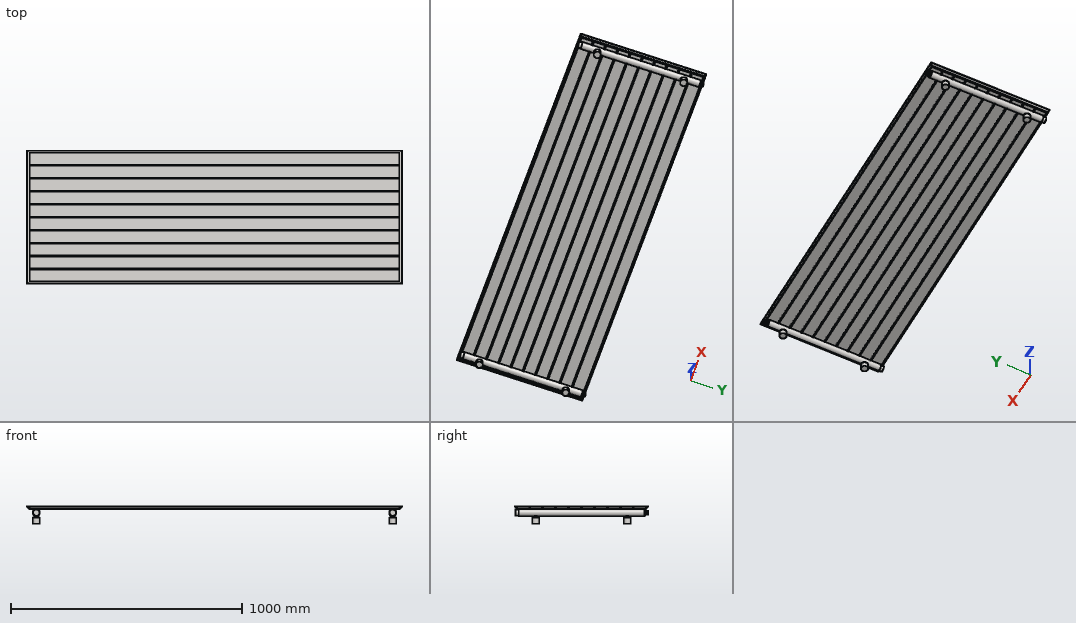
import cadquery as cq

length = 1622.0
width = 575.0
height = 76.0

panel_depth = 10.0
sheet = 1.0
rim_step = 2.0
rim_lean = 34.5
recess_inset_y = 10.0
recess_inset_x = 13.0

tube_count = 10
tube_gap = 5.0
tube_protrusion = 2.5

manifold_radius = 15.7
manifold_length = 542.0
manifold_inset = 40.0
manifold_axis_z = 49.0

plug_radius = 13.8
plug_length = 15.0
collar_length = 5.0
vent_head_radius = 8.0
vent_head_length = 6.0
vent_stem_radius = 6.0

foot_radius = 15.4
foot_height = 30.0
foot_chamfer = 2.0
neck_radius = 8.0
foot_offset_y = 198.0

panel_bottom = height - panel_depth
sheet_bottom = height - sheet
tube_bottom = panel_bottom - tube_protrusion
recess_length = length - 2 * recess_inset_x
recess_width = width - 2 * recess_inset_y
manifold_x = length / 2 - manifold_inset
manifold_end = manifold_length / 2


def make_panel():
    plate = cq.Workplane("XY", origin=(0, 0, sheet_bottom)).rect(length, width).extrude(sheet)
    rim = (
        cq.Workplane("XY", origin=(0, 0, sheet_bottom))
        .rect(length - 2 * rim_step, width - 2 * rim_step)
        .extrude(panel_bottom - sheet_bottom, taper=rim_lean)
    )
    recess = (
        cq.Workplane("XY", origin=(0, 0, panel_bottom))
        .rect(recess_length, recess_width)
        .extrude(sheet_bottom - panel_bottom)
    )
    return plate.union(rim.cut(recess))


def make_flat_tubes():
    pitch = (recess_width + tube_gap) / tube_count
    first_y = -pitch * (tube_count - 1) / 2
    return [
        cq.Workplane("XY", origin=(0, first_y + i * pitch, tube_bottom))
        .rect(recess_length, pitch - tube_gap)
        .extrude(sheet_bottom - tube_bottom)
        for i in range(tube_count)
    ]


def y_cylinder(radius, x, start, end):
    """Cylinder on the manifold axis at x, from y = start to y = end."""
    return cq.Workplane("XZ", origin=(x, start, manifold_axis_z)).circle(radius).extrude(start - end)


def make_manifold(x):
    pipe = y_cylinder(manifold_radius, x, -manifold_end, manifold_end)
    plug = y_cylinder(plug_radius, x, -manifold_end - plug_length, -manifold_end)
    collar = y_cylinder(plug_radius, x, manifold_end, manifold_end + collar_length)
    vent_stem = y_cylinder(vent_stem_radius, x, manifold_end, width / 2)
    vent_head = y_cylinder(vent_head_radius, x, width / 2 - vent_head_length, width / 2)
    return pipe.union(plug).union(collar).union(vent_stem).union(vent_head)


def make_foot(x, y):
    base = cq.Workplane("XY", origin=(x, y, 0)).circle(foot_radius).extrude(foot_height)
    base = base.faces(">Z").edges().chamfer(foot_chamfer)
    neck = cq.Workplane("XY", origin=(x, y, 0)).circle(neck_radius).extrude(manifold_axis_z)
    return base.union(neck)


def make_radiator():
    body = make_manifold(-manifold_x).union(make_manifold(manifold_x))
    for tube in make_flat_tubes():
        body = body.union(tube)
    for x in (-manifold_x, manifold_x):
        for y in (-foot_offset_y, foot_offset_y):
            body = body.union(make_foot(x, y))
    return body


panel = make_panel()
radiator = make_radiator()
result = cq.Compound.makeCompound([panel.val(), radiator.val()])